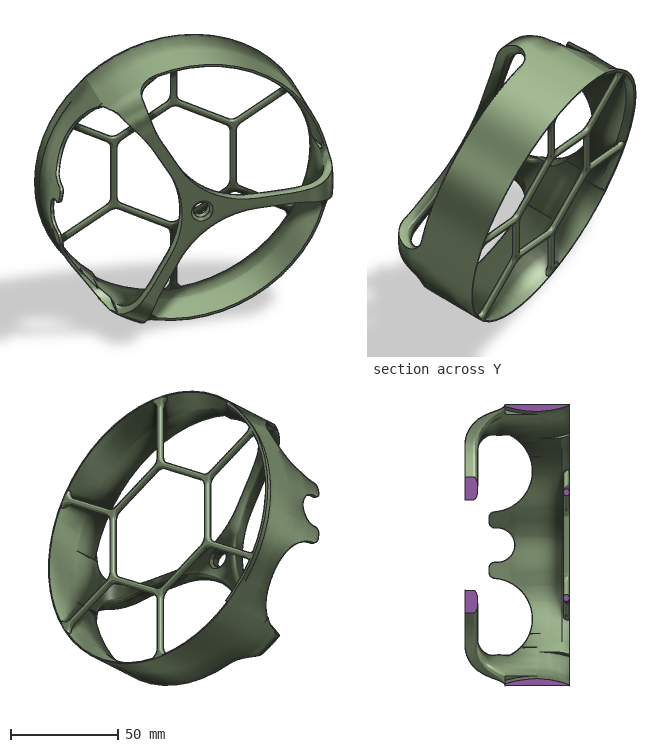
import cadquery as cq
import math

outer_radius = 67.5
depth = 48.9
ring_length = 30.2
corner_start = 33.5
corner_radius = depth - corner_start
front_wall = 0.5
rim_wall = 1.1
throat_wall = 3.4
throat_start = ring_length / 2
arm_pad_half_angle = 12.0
bracket_thickness = 6.1
bracket_front = depth - bracket_thickness
throat_radius = outer_radius - throat_wall

arm_count = 3
arm_half_width = 2.7
arm_edge_rounding = 2.2
arm_flare_start = 41.8
arm_flare_radius = 70.2
arm_root_radius = 10.8
hub_blend_radius = 43.2
hub_hole_radius = 3.9
hub_hole_chamfer = 1.4

guard_corner_radius = 33.5
guard_bar_width = 3.0
guard_bar_rounding = 1.4
guard_node_blend = 4.6

dent_length = 27.0
dent_lip_radius = 67.2
dent_floor_radius = 65.6
dent_floor_start = 3.6
dent_floor_middle = 13.1
dent_floor_rise = 0.3
dent_floor_angle = 40.0
dent_end_angle = 51.0
dent_wall = 1.5
tab_end = 37.7
tab_tip_rounding = 3.0
tab_gap_center = 33.6
tab_gap_radius = 8.0
scallop_center_x = 36.3
scallop_center_z = 34.4
scallop_radius = 18.9
scallop_start = -38.5

reach = 1.2 * outer_radius
pick_margin = 0.1


def turned(shape, angle):
    """Turn a shape about the X axis by an angle in degrees."""
    return shape.rotate((0, 0, 0), (1, 0, 0), angle)


def throat_point(end_x, end_wall):
    """Middle point of the inner wall arc that leaves the throat level and ends at end_x."""
    run = end_x - throat_start
    rise = throat_wall - end_wall
    bulge_radius = (run**2 + rise**2) / (2 * rise)
    middle_rise = bulge_radius - math.sqrt(bulge_radius**2 - (run / 2) ** 2)
    return (throat_start + run / 2, throat_radius + middle_rise)


def cup_shell():
    inner_front = outer_radius - front_wall
    flat_radius = outer_radius - corner_radius
    bend = math.sqrt(0.5)
    outer_bend = (corner_start + corner_radius * bend, flat_radius + corner_radius * bend)
    inner_bend = (
        ring_length + (bracket_front - ring_length) * bend,
        flat_radius + (throat_radius - flat_radius) * bend,
    )
    profile = (
        cq.Workplane("XY")
        .moveTo(0, outer_radius)
        .lineTo(corner_start, outer_radius)
        .threePointArc(outer_bend, (depth, flat_radius))
        .lineTo(depth, 0)
        .lineTo(bracket_front, 0)
        .lineTo(bracket_front, flat_radius)
        .threePointArc(inner_bend, (ring_length, throat_radius))
        .lineTo(throat_start, throat_radius)
        .threePointArc(throat_point(0, front_wall), (0, inner_front))
        .close()
    )
    return profile.revolve(360, (0, 0, 0), (1, 0, 0))


def arm_gap():
    """Cutter for the opening between two arms, centred on -Y."""
    half_angle = math.pi / arm_count

    def beside_arm(along, across, side):
        """Point at a distance along an arm and a distance from its axis into the gap."""
        y = -along * math.cos(half_angle) - across * math.sin(half_angle)
        z = along * math.sin(half_angle) - across * math.cos(half_angle)
        return (y, side * z)

    def flare(along):
        rise = along - arm_flare_start
        return arm_half_width + arm_flare_radius - math.sqrt(arm_flare_radius**2 - rise**2)

    blend_start = (arm_half_width + hub_blend_radius) / math.tan(half_angle)
    blend_middle = (arm_half_width + hub_blend_radius) / math.sin(half_angle) - hub_blend_radius
    flare_middle = (arm_flare_start + reach) / 2

    outline = (
        cq.Workplane("YZ", origin=(ring_length, 0, 0))
        .moveTo(*beside_arm(blend_start, arm_half_width, 1))
        .lineTo(*beside_arm(arm_flare_start, arm_half_width, 1))
        .threePointArc(
            beside_arm(flare_middle, flare(flare_middle), 1),
            beside_arm(reach, flare(reach), 1),
        )
        .lineTo(-2 * reach, 0)
        .lineTo(*beside_arm(reach, flare(reach), -1))
        .threePointArc(
            beside_arm(flare_middle, flare(flare_middle), -1),
            beside_arm(arm_flare_start, arm_half_width, -1),
        )
        .lineTo(*beside_arm(blend_start, arm_half_width, -1))
        .threePointArc((-blend_middle, 0), beside_arm(blend_start, arm_half_width, 1))
        .close()
    )
    gap = outline.extrude(reach)
    return gap.faces("<X").edges().fillet(arm_root_radius)


def hub_hole():
    """Through hole with a chamfer at both faces of the bracket."""
    mouth_radius = hub_hole_radius + hub_hole_chamfer
    return (
        cq.Workplane("XY")
        .moveTo(bracket_front, 0)
        .lineTo(bracket_front, mouth_radius)
        .lineTo(bracket_front + hub_hole_chamfer, hub_hole_radius)
        .lineTo(depth - hub_hole_chamfer, hub_hole_radius)
        .lineTo(depth, mouth_radius)
        .lineTo(depth, 0)
        .close()
        .revolve(360, (0, 0, 0), (1, 0, 0))
    )


def guard():
    """Hexagon of round-edged bars with a spoke from each corner to the ring."""
    spoke_count = 6
    half_bar = guard_bar_width / 2
    half_angle = math.pi / spoke_count
    window_radius = outer_radius - front_wall
    center_window = guard_corner_radius - half_bar / math.cos(half_angle)
    plate = cq.Workplane("YZ").rect(2 * reach, 2 * reach).extrude(guard_bar_width)
    hexagon = cq.Workplane("YZ").polygon(spoke_count, 2 * center_window).extrude(guard_bar_width)
    plate = plate.cut(turned(hexagon, 90))

    inner_y = guard_corner_radius * math.cos(half_angle) + half_bar
    spoke_offset = half_bar / math.cos(half_angle)
    inner_z = inner_y * math.tan(half_angle) - spoke_offset
    rim_angle = half_angle - math.asin(half_bar / window_radius)
    rim_y = window_radius * math.cos(rim_angle)
    rim_z = window_radius * math.sin(rim_angle)
    window = (
        cq.Workplane("YZ")
        .moveTo(inner_y, -inner_z)
        .lineTo(rim_y, -rim_z)
        .threePointArc((window_radius, 0), (rim_y, rim_z))
        .lineTo(inner_y, inner_z)
        .close()
        .extrude(guard_bar_width)
    )
    for index in range(spoke_count):
        plate = plate.cut(turned(window, index * 360 / spoke_count))
    plate = plate.edges("|X").fillet(guard_node_blend)
    plate = plate.faces("<X or >X").edges().fillet(guard_bar_rounding)
    rim = cq.Workplane("YZ").circle(window_radius).extrude(guard_bar_width)
    return plate.intersect(rim)


def dished_line(offset):
    """Open dished line in the half plane of +Y, moved inward by offset."""
    return (
        cq.Workplane("XY")
        .moveTo(0, dent_lip_radius - offset)
        .lineTo(dent_floor_start, dent_floor_radius + dent_floor_rise - offset)
        .threePointArc(
            (dent_floor_middle, dent_floor_radius - offset),
            (dent_length, dent_lip_radius - offset),
        )
    )


def dished_section(offset, outside):
    """Closed section from the dished line out to a straight outside radius."""
    return dished_line(offset).lineTo(dent_length, outside).lineTo(0, outside).close()


def dent_wall_section():
    """Closed section of the dished wall with the straight tab wall behind it."""
    return (
        dished_line(dent_wall)
        .lineTo(tab_end, dent_lip_radius - dent_wall)
        .lineTo(tab_end, dent_lip_radius)
        .lineTo(dent_length, dent_lip_radius)
        .threePointArc(
            (dent_floor_middle, dent_floor_radius),
            (dent_floor_start, dent_floor_radius + dent_floor_rise),
        )
        .lineTo(0, dent_lip_radius)
        .close()
    )


def sector(section, half_angle):
    """Revolve a +Y section about the X axis over a sector centred on -Y."""
    swept = section.revolve(2 * half_angle, (0, 0, 0), (1, 0, 0))
    return turned(swept, 180 - half_angle)


def dent_ramp():
    """Cutter that runs out from one end of the dent floor to the round outside of the ring."""
    floor_end = dished_section(0, reach).wire().val()
    flush_end = (
        cq.Workplane("XY")
        .moveTo(0, outer_radius)
        .lineTo(dent_floor_start, outer_radius)
        .lineTo(dent_length, outer_radius)
        .lineTo(dent_length, reach)
        .lineTo(0, reach)
        .close()
        .val()
    )
    ends = [
        floor_end.rotate(cq.Vector(0, 0, 0), cq.Vector(1, 0, 0), 180 - dent_floor_angle),
        flush_end.rotate(cq.Vector(0, 0, 0), cq.Vector(1, 0, 0), 180 - dent_end_angle),
    ]
    return cq.Workplane(cq.Solid.makeLoft(ends, True))


def with_dent_ends(cup):
    """Line the -Y wall on the inside and slope the two ends of the dent into it."""
    lining = sector(dished_section(dent_wall, dent_lip_radius), dent_end_angle)
    ramp = dent_ramp()
    return cup.union(lining).cut(ramp).cut(ramp.mirror("XY"))


def rim_relief():
    """Cutter that thins the wall from the throat to the free rim between two arms, centred on -Y."""
    section = (
        cq.Workplane("XY")
        .moveTo(throat_start, throat_radius)
        .threePointArc(throat_point(ring_length, rim_wall), (ring_length, outer_radius - rim_wall))
        .lineTo(ring_length, arm_flare_start)
        .lineTo(throat_start, arm_flare_start)
        .close()
    )
    return sector(section, 180 / arm_count - arm_pad_half_angle)


def with_bracket(cup):
    """Open the gaps between the arms and make the hub hole."""
    gap = arm_gap()
    for index in range(arm_count):
        cup = cup.cut(turned(gap, index * 360 / arm_count))
    return cup.cut(hub_hole())


def with_thin_rim(cup):
    """Thin the ring toward its free back edge in each gap between the arms."""
    relief = rim_relief()
    for index in range(arm_count):
        cup = cup.cut(turned(relief, index * 360 / arm_count))
    return cup


def with_rounded_arms(cup):
    """Round the inner edges of the arms and hub; the arcs follow the straight edges they touch."""
    inner_edges = cup.edges(
        cq.selectors.BoxSelector(
            (bracket_front - pick_margin, -arm_flare_start, -arm_flare_start),
            (bracket_front + pick_margin, arm_flare_start, arm_flare_start),
        )
    )
    return inner_edges.edges("not %CIRCLE").fillet(arm_edge_rounding)


def with_dished_wall(cup):
    """Replace the -Y wall by a dished one with the tab wall behind it."""
    ring_section = (
        cq.Workplane("XY")
        .moveTo(0, reach)
        .lineTo(tab_end, reach)
        .lineTo(tab_end, arm_flare_start)
        .lineTo(0, arm_flare_start)
        .close()
    )
    cup = cup.cut(sector(ring_section, dent_floor_angle))
    return cup.union(sector(dent_wall_section(), dent_floor_angle))


def tab_outline_cutter():
    """Scallops beside the tabs and the round gap between them, all cut along Y."""
    plane = cq.Workplane("XZ", origin=(0, scallop_start, 0))
    scallops = (
        plane.pushPoints([(scallop_center_x, scallop_center_z), (scallop_center_x, -scallop_center_z)])
        .circle(scallop_radius)
        .extrude(reach)
    )
    gap = plane.center(tab_gap_center, 0).circle(tab_gap_radius).extrude(reach)
    return scallops.union(gap)


def with_rounded_tabs(cup):
    """Round the corners at the tips of the two tabs."""
    tip_zone = cq.selectors.BoxSelector(
        (tab_end - pick_margin, -outer_radius, -scallop_radius),
        (tab_end + pick_margin, -tab_gap_radius, scallop_radius),
    )
    return cup.edges(tip_zone).edges("|Y").fillet(tab_tip_rounding)


cup = with_bracket(with_dent_ends(cup_shell()))
cup = with_thin_rim(with_rounded_arms(cup))
cup = with_dished_wall(cup).cut(tab_outline_cutter())
cup = with_rounded_tabs(cup)
dent_recess = sector(dished_section(0, reach), dent_floor_angle)
result = cup.union(guard().cut(dent_recess))